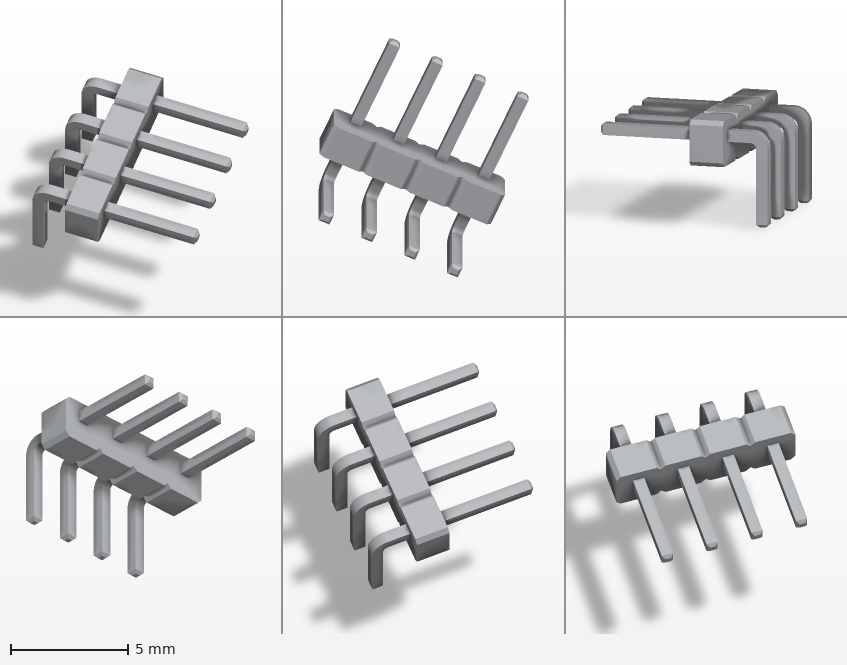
import cadquery as cq

pin_count = 4
pitch = 2.0

body_width = 1.5
body_height = 2.0
body_chamfer = 0.2

pin_size = 0.5
pin_height = 1.25
pin_setback = 1.75
mating_length = 4.2
tail_length = 2.65
bend_inner_radius = 0.25
tip_chamfer = 0.125

row_length = pin_count * pitch
leg_outer_x = -pin_setback
leg_inner_x = leg_outer_x + pin_size
mating_tip_x = body_width + mating_length
pin_top_z = pin_height + pin_size / 2
pin_under_z = pin_height - pin_size / 2
bend_outer_radius = bend_inner_radius + pin_size
pin_positions = [(i + 0.5) * pitch - row_length / 2 for i in range(pin_count)]


def body_segment(y):
    """One pitch of the body, chamfered along its four X-direction edges."""
    segment = cq.Workplane("XY").box(body_width, pitch, body_height, centered=(False, True, False))
    return segment.edges("|X").chamfer(body_chamfer).translate((0, y, 0))


def pin(y):
    """An L-shaped square pin with a rounded bend and chamfered tips."""
    blank = (
        cq.Workplane("XZ")
        .moveTo(leg_outer_x, -tail_length)
        .lineTo(leg_outer_x, pin_top_z)
        .lineTo(mating_tip_x, pin_top_z)
        .lineTo(mating_tip_x, pin_under_z)
        .lineTo(leg_inner_x, pin_under_z)
        .lineTo(leg_inner_x, -tail_length)
        .close()
        .extrude(pin_size / 2, both=True)
    )
    outer_corner = cq.NearestToPointSelector((leg_outer_x, 0, pin_top_z))
    inner_corner = cq.NearestToPointSelector((leg_inner_x, 0, pin_under_z))
    bent = blank.edges("|Y").edges(outer_corner).fillet(bend_outer_radius)
    bent = bent.edges("|Y").edges(inner_corner).fillet(bend_inner_radius)
    tipped = bent.faces(">X").chamfer(tip_chamfer).faces("<Z").chamfer(tip_chamfer)
    return tipped.translate((0, y, 0))


result = body_segment(pin_positions[0])
for y in pin_positions[1:]:
    result = result.union(body_segment(y))
for y in pin_positions:
    result = result.union(pin(y))